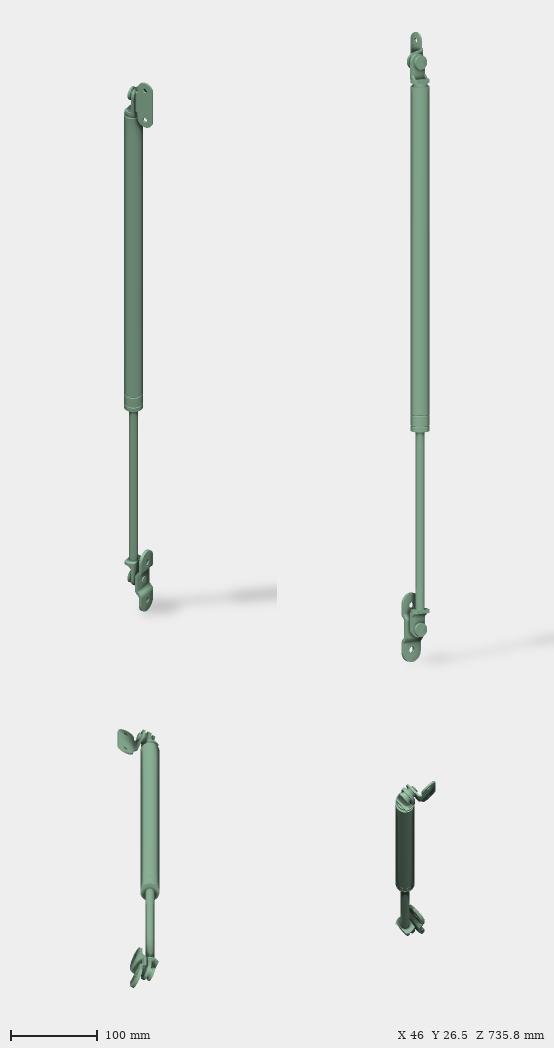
import cadquery as cq
import math

STUD_SPACING = 665.0

TUBE_RADIUS = 11.0
TUBE_BOTTOM = 233.0
TUBE_NECK_RADIUS = 9.0
TUBE_NECK_HEIGHT = 4.5
GROOVE_HEIGHTS = (239.0, 252.5)
GROOVE_RADIUS = 1.0
ROD_RADIUS = 5.0

FITTING_REACH = 23.5
FITTING_THICKNESS = 4.0
PAD_RADIUS = 11.0
PAD_HALF_WIDTH = 6.5
EYE_RADIUS = 9.5
GUSSET_LEG = 5.0
GUSSET_THICKNESS = 2.0
EYE_INNER_X = PAD_HALF_WIDTH - FITTING_THICKNESS

BRACKET_FACE_X = 10.0
HEAD_X = -3.0
HEAD_THICKNESS = 3.0
HEAD_RADIUS = 8.0
COLLAR_RADIUS = 6.5
SHANK_RADIUS = 4.5
STUD_END_X = 15.5

LOWER_LENGTH = 81
LOWER_WIDTH = 25.0
LOWER_THICKNESS = 4.0
LOWER_STEP = 5.0
LOWER_JOGGLE_ANGLE = 45
LOWER_SEAT_HALF_LENGTH = 12.0
LOWER_BEND_RADIUS = 2.0
LOWER_HOLE_DIAMETER = 7
LOWER_HOLE_SPACING = 52.0

PLATE_WIDTH = 20.0
PLATE_HOLE_SPACING = 40.5
PLATE_HOLE_DIAMETER = 6.0
PLATE_LEFT_X = 15.0
PLATE_BACK_Y = -14.0
SHEET_THICKNESS = 2.0
SHEET_BEND_RADIUS = 1.5
FLANGE_BASE_HEIGHT = 26.5
FLANGE_RADIUS = 9.5
PLATE_CENTER_X = PLATE_LEFT_X + PLATE_WIDTH / 2

TUBE_TOP = STUD_SPACING - FITTING_REACH - TUBE_NECK_HEIGHT


def x_cylinder(radius, x_start, x_end, z=0):
    """A cylinder along X between two X positions."""
    return cq.Workplane("YZ", origin=(x_start, 0, z)).circle(radius).extrude(x_end - x_start)


def z_cylinder(radius, z_start, z_end):
    """A cylinder along the spring axis between two heights."""
    return cq.Workplane("XY", origin=(0, 0, z_start)).circle(radius).extrude(z_end - z_start)


def make_tube():
    """The grooved tube with a short neck at its upper end."""
    tube = z_cylinder(TUBE_RADIUS, TUBE_BOTTOM, TUBE_TOP)
    tube = tube.union(z_cylinder(TUBE_NECK_RADIUS, TUBE_TOP, TUBE_TOP + TUBE_NECK_HEIGHT))
    for height in GROOVE_HEIGHTS:
        groove = cq.Solid.makeTorus(TUBE_RADIUS, GROOVE_RADIUS, cq.Vector(0, 0, height))
        tube = tube.cut(cq.Workplane(groove))
    return tube


def make_rod():
    """The rod from the lower fitting to the end of the tube."""
    return z_cylinder(ROD_RADIUS, FITTING_REACH, TUBE_BOTTOM)


def make_fitting():
    """A fitting with its eye at the origin and its pad above."""
    pad_bottom = FITTING_REACH - FITTING_THICKNESS
    pad = z_cylinder(PAD_RADIUS, pad_bottom, FITTING_REACH)
    pad = pad.intersect(cq.Workplane("XY").box(2 * PAD_HALF_WIDTH, 2 * PAD_RADIUS, 2 * FITTING_REACH))
    eye = x_cylinder(EYE_RADIUS, EYE_INNER_X, PAD_HALF_WIDTH)
    neck = cq.Workplane("XY", origin=(EYE_INNER_X, 0, 0)).box(
        FITTING_THICKNESS, 2 * EYE_RADIUS, pad_bottom, centered=(False, True, False)
    )
    fitting = pad.union(neck).union(eye)
    for gusset_back_y in (EYE_RADIUS, GUSSET_THICKNESS - EYE_RADIUS):
        gusset = (
            cq.Workplane("XZ", origin=(EYE_INNER_X, gusset_back_y, pad_bottom))
            .polyline([(0, 0), (-GUSSET_LEG, 0), (0, -GUSSET_LEG)])
            .close()
            .extrude(GUSSET_THICKNESS)
        )
        fitting = fitting.union(gusset)
    return fitting.cut(x_cylinder(SHANK_RADIUS, EYE_INNER_X, PAD_HALF_WIDTH))


def make_stud():
    """A headed stud with collars on both sides of the fitting eye."""
    stud = x_cylinder(SHANK_RADIUS, HEAD_X, STUD_END_X)
    head = x_cylinder(HEAD_RADIUS, HEAD_X, HEAD_X + HEAD_THICKNESS)
    inner_collar = x_cylinder(COLLAR_RADIUS, HEAD_X, EYE_INNER_X)
    outer_collar = x_cylinder(COLLAR_RADIUS, PAD_HALF_WIDTH, BRACKET_FACE_X)
    return stud.union(head).union(inner_collar).union(outer_collar)


def make_lower_bracket():
    """The joggled strip with round ends, seated on the stud collar."""
    half = LOWER_LENGTH / 2
    foot_x = BRACKET_FACE_X + LOWER_STEP
    foot_z = LOWER_SEAT_HALF_LENGTH + LOWER_STEP / math.tan(math.radians(LOWER_JOGGLE_ANGLE))
    corner_shift = LOWER_THICKNESS * math.tan(math.radians(LOWER_JOGGLE_ANGLE / 2))
    seat_back_z = LOWER_SEAT_HALF_LENGTH - corner_shift
    foot_back_z = foot_z - corner_shift
    front = [
        (BRACKET_FACE_X, LOWER_SEAT_HALF_LENGTH),
        (foot_x, foot_z),
        (foot_x, half),
    ]
    back = [
        (foot_x + LOWER_THICKNESS, half),
        (foot_x + LOWER_THICKNESS, foot_back_z),
        (BRACKET_FACE_X + LOWER_THICKNESS, seat_back_z),
    ]
    upper_side = front + back
    lower_side = [(x, -z) for x, z in reversed(upper_side)]
    strip = (
        cq.Workplane("XZ", origin=(0, LOWER_WIDTH / 2, 0))
        .polyline(upper_side + lower_side)
        .close()
        .extrude(LOWER_WIDTH)
    )
    for side in (-1, 1):
        for x, z in (front[0], back[1]):
            outer_edge = cq.selectors.NearestToPointSelector((x, 0, side * z))
            strip = strip.edges(outer_edge).fillet(LOWER_BEND_RADIUS + LOWER_THICKNESS)
        for x, z in (front[1], back[2]):
            inner_edge = cq.selectors.NearestToPointSelector((x, 0, side * z))
            strip = strip.edges(inner_edge).fillet(LOWER_BEND_RADIUS)
    outline = (
        cq.Workplane("YZ", origin=(BRACKET_FACE_X, 0, 0))
        .slot2D(LOWER_LENGTH, LOWER_WIDTH, 90)
        .extrude(LOWER_STEP + LOWER_THICKNESS)
    )
    bracket = strip.intersect(outline)
    for side in (-1, 1):
        hole_z = side * LOWER_HOLE_SPACING / 2
        bracket = bracket.cut(x_cylinder(LOWER_HOLE_DIAMETER / 2, foot_x, foot_x + LOWER_THICKNESS, z=hole_z))
    return bracket.cut(x_cylinder(SHANK_RADIUS, BRACKET_FACE_X, foot_x))


def make_upper_bracket():
    """The oblong plate and its stud flange, with the stud axis through the origin."""
    plate_origin = (PLATE_CENTER_X, PLATE_BACK_Y + SHEET_THICKNESS, 0)
    plate = (
        cq.Workplane("XZ", origin=plate_origin)
        .slot2D(PLATE_HOLE_SPACING + PLATE_WIDTH, PLATE_WIDTH, 90)
        .extrude(SHEET_THICKNESS)
    )
    inner_x = BRACKET_FACE_X + SHEET_THICKNESS
    inner_y = PLATE_BACK_Y + SHEET_THICKNESS
    bend = (
        cq.Workplane("XY", origin=(0, 0, -FLANGE_BASE_HEIGHT / 2))
        .moveTo(BRACKET_FACE_X, PLATE_BACK_Y)
        .lineTo(PLATE_CENTER_X, PLATE_BACK_Y)
        .lineTo(PLATE_CENTER_X, inner_y)
        .lineTo(inner_x, inner_y)
        .lineTo(inner_x, FLANGE_RADIUS)
        .lineTo(BRACKET_FACE_X, FLANGE_RADIUS)
        .close()
        .extrude(FLANGE_BASE_HEIGHT)
    )
    outer_edge = cq.selectors.NearestToPointSelector((BRACKET_FACE_X, PLATE_BACK_Y, 0))
    inner_edge = cq.selectors.NearestToPointSelector((inner_x, inner_y, 0))
    bend = bend.edges(outer_edge).fillet(SHEET_BEND_RADIUS + SHEET_THICKNESS)
    bend = bend.edges(inner_edge).fillet(SHEET_BEND_RADIUS)

    corner_z = FLANGE_BASE_HEIGHT / 2
    corner_distance = math.hypot(PLATE_BACK_Y, corner_z)
    tangent_angle = math.atan2(corner_z, PLATE_BACK_Y) - math.acos(FLANGE_RADIUS / corner_distance)
    tangent_y = FLANGE_RADIUS * math.cos(tangent_angle)
    tangent_z = FLANGE_RADIUS * math.sin(tangent_angle)
    flange_outline = (
        cq.Workplane("YZ", origin=(BRACKET_FACE_X, 0, 0))
        .moveTo(PLATE_BACK_Y, -corner_z)
        .lineTo(tangent_y, -tangent_z)
        .threePointArc((FLANGE_RADIUS, 0), (tangent_y, tangent_z))
        .lineTo(PLATE_BACK_Y, corner_z)
        .close()
        .extrude(PLATE_CENTER_X - BRACKET_FACE_X)
    )
    bracket = plate.union(bend.intersect(flange_outline))
    holes = (
        cq.Workplane("XZ", origin=plate_origin)
        .pushPoints([(0, -PLATE_HOLE_SPACING / 2), (0, PLATE_HOLE_SPACING / 2)])
        .circle(PLATE_HOLE_DIAMETER / 2)
        .extrude(SHEET_THICKNESS)
    )
    return bracket.cut(holes).cut(x_cylinder(SHANK_RADIUS, BRACKET_FACE_X, PLATE_LEFT_X))


tube = make_tube()
rod = make_rod()
lower_fitting = make_fitting()
upper_fitting = make_fitting().mirror("XY").translate((0, 0, STUD_SPACING))
studs = [make_stud().translate((0, 0, z)) for z in (0, STUD_SPACING)]
lower_bracket = make_lower_bracket()
upper_bracket = make_upper_bracket().translate((0, 0, STUD_SPACING))

result = cq.Compound.makeCompound(
    [
        tube.val(),
        rod.val(),
        lower_fitting.val(),
        upper_fitting.val(),
        *[stud.val() for stud in studs],
        lower_bracket.val(),
        upper_bracket.val(),
    ]
)